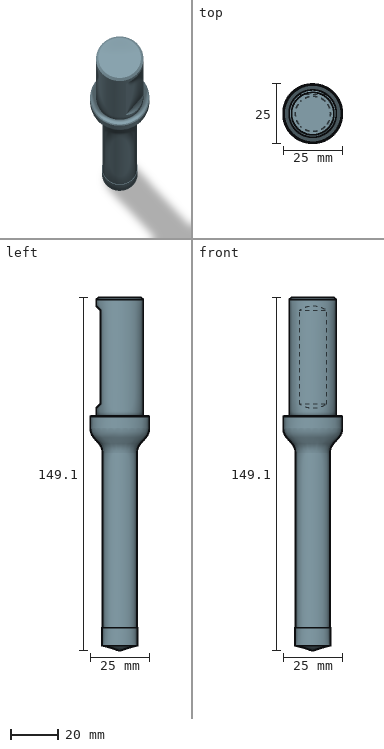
import cadquery as cq

total_length = 149.1

shank_diameter = 20.0
shank_length = 50.0
shank_chamfer = 1.0
flat_depth = 1.8
flat_top_margin = 3.6
flat_bottom_margin = 3.3

collar_diameter = 25.0
collar_rim_length = 5.0
collar_chamfer = 0.5
neck_diameter = 14.6
transition_length = 10.7

head_diameter = 15.0
head_length = 7.6
point_core_diameter = 7.0
point_outer_height = 1.0
point_core_height = 1.2

shank_radius = shank_diameter / 2
collar_radius = collar_diameter / 2
neck_radius = neck_diameter / 2
head_radius = head_diameter / 2
core_radius = point_core_diameter / 2
head_bottom = point_core_height + point_outer_height
head_top = head_bottom + head_length
collar_top = total_length - shank_length
rim_bottom = collar_top - collar_rim_length
neck_top = rim_bottom - transition_length


def make_holder():
    """Shank, collar, transition and neck turned as one solid."""
    axial_direction = (0, 1)
    profile = (
        cq.Workplane("XZ")
        .moveTo(0, head_top)
        .lineTo(neck_radius, head_top)
        .lineTo(neck_radius, neck_top)
        .spline(
            [(collar_radius, rim_bottom)],
            tangents=[axial_direction, axial_direction],
            includeCurrent=True,
        )
        .lineTo(collar_radius, collar_top - collar_chamfer)
        .lineTo(collar_radius - collar_chamfer, collar_top)
        .lineTo(shank_radius, collar_top)
        .lineTo(shank_radius, total_length - shank_chamfer)
        .lineTo(shank_radius - shank_chamfer, total_length)
        .lineTo(0, total_length)
        .close()
    )
    return profile.revolve(360, (0, 0, 0), (0, 1, 0)).cut(make_flat_cutter())


def make_flat_cutter():
    """Prism along X that mills the clamping flat with 45 degree ends."""
    flat_y = shank_radius - flat_depth
    upper_end = total_length - flat_top_margin
    lower_end = collar_top + flat_bottom_margin
    return (
        cq.Workplane("YZ")
        .moveTo(shank_radius, lower_end)
        .lineTo(flat_y, lower_end + flat_depth)
        .lineTo(flat_y, upper_end - flat_depth)
        .lineTo(shank_radius, upper_end)
        .close()
        .extrude(shank_radius, both=True)
    )


def make_head():
    """Cutting head: a cylinder ending in a shallow cone and a steeper core point."""
    profile = (
        cq.Workplane("XZ")
        .moveTo(0, 0)
        .lineTo(core_radius, point_core_height)
        .lineTo(head_radius, head_bottom)
        .lineTo(head_radius, head_top)
        .lineTo(0, head_top)
        .close()
    )
    return profile.revolve(360, (0, 0, 0), (0, 1, 0))


holder = make_holder()
head = make_head()
result = cq.Compound.makeCompound([holder.val(), head.val()])